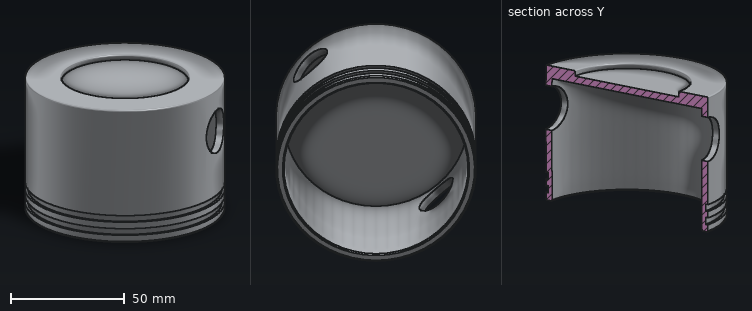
import cadquery as cq

OUTER_DIAMETER = 88.0
HEIGHT = 62.0
CROWN_EDGE_RADIUS = 0.8
SKIRT_EDGE_CHAMFER = 0.6

GROOVE_DIAMETER = 85.6
GROOVE_WIDTH = 3.1
GROOVE_PITCH = 6.1
GROOVE_COUNT = 2
FIRST_GROOVE_Z = 3.5

DISH_DIAMETER = 56.0
DISH_DEPTH = 2.5
DISH_EDGE_RADIUS = 0.8

BORE_DIAMETER = 81.0
WALL_THICKNESS = (OUTER_DIAMETER - BORE_DIAMETER) / 2
BORE_DEPTH = HEIGHT - DISH_DEPTH - WALL_THICKNESS
PIN_DIAMETER = 20.0
PIN_Z = 42.5


def cylinder(diameter, base_z, height):
    """Solid cylinder on the piston axis."""
    return cq.Workplane("XY").workplane(offset=base_z).circle(diameter / 2).extrude(height)


def make_body():
    """Outer cylinder with a rounded crown edge and a chamfered skirt edge."""
    body = cylinder(OUTER_DIAMETER, 0, HEIGHT)
    body = body.faces(">Z").edges().fillet(CROWN_EDGE_RADIUS)
    return body.faces("<Z").edges().chamfer(SKIRT_EDGE_CHAMFER)


def cut_dish(body):
    """Sink the round dish into the crown and round its rim."""
    dish_floor_z = HEIGHT - DISH_DEPTH
    body = body.cut(cylinder(DISH_DIAMETER, dish_floor_z, DISH_DEPTH))
    rim = cq.selectors.RadiusNthSelector(0)
    return body.faces(">Z").edges(rim).fillet(DISH_EDGE_RADIUS)


def cut_ring_grooves(body):
    """Cut the ring grooves around the outside."""
    for index in range(GROOVE_COUNT):
        base_z = FIRST_GROOVE_Z + index * GROOVE_PITCH
        core = cylinder(GROOVE_DIAMETER, base_z, GROOVE_WIDTH)
        body = body.cut(cylinder(OUTER_DIAMETER, base_z, GROOVE_WIDTH).cut(core))
    return body


def cut_bore(body):
    """Hollow the piston from the open end up to the crown and chamfer the mouth."""
    body = body.cut(cylinder(BORE_DIAMETER, 0, BORE_DEPTH))
    mouth = cq.selectors.RadiusNthSelector(0)
    return body.faces("<Z").edges(mouth).chamfer(SKIRT_EDGE_CHAMFER)


def cut_pin_hole(body):
    """Drill the pin hole along X through both walls."""
    pin = cq.Workplane("YZ").center(0, PIN_Z).circle(PIN_DIAMETER / 2)
    return body.cut(pin.extrude(OUTER_DIAMETER / 2, both=True))


piston = make_body()
piston = cut_dish(piston)
piston = cut_ring_grooves(piston)
piston = cut_bore(piston)
result = cut_pin_hole(piston)